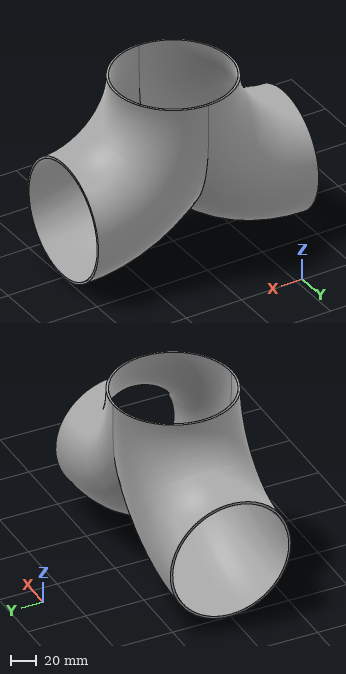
import cadquery as cq

length = 200.0
outer_diameter = 104.0
wall = 2.0

bend_angle = 90
bend_radius = length / 2
outer_radius = outer_diameter / 2
inner_radius = outer_radius - wall
keep_size = 2 * length


def elbow(pipe_radius, side):
    """Solid bend from the top mouth down to the side outlet; side is +1 for +X, -1 for -X."""
    bend_axis_x = side * bend_radius
    return (
        cq.Workplane("XY")
        .circle(pipe_radius)
        .revolve(bend_angle, (bend_axis_x, 0), (bend_axis_x, -side))
    )


def half_elbow(pipe_radius, side):
    """Bend trimmed to its own side of the YZ plane."""
    own_side = cq.Workplane("XY").box(keep_size, keep_size, keep_size)
    own_side = own_side.translate((side * keep_size / 2, 0, 0))
    return elbow(pipe_radius, side).intersect(own_side)


def twin_bend(pipe_radius):
    """Both trimmed bends joined at the YZ plane."""
    return half_elbow(pipe_radius, 1).union(half_elbow(pipe_radius, -1))


result = twin_bend(outer_radius).cut(twin_bend(inner_radius))